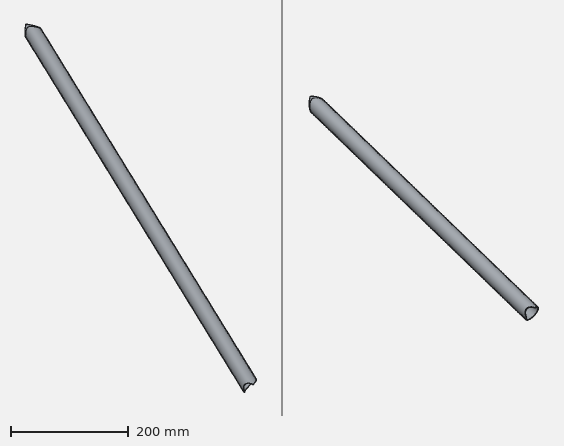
import cadquery as cq
import math

tube_diameter = 30.0
tube_radius = tube_diameter / 2
wall = 1.5
tip_length = 780.0
drop_angle = 13.0
yaw_angle = -1.7

start_roll = 31.0

end_roll = 137.0
saddle_radius = 11.0
trim_angle = 31.0
tip_angle = 45.0
tip_offset = tube_radius * math.cos(math.radians(tip_angle))
tip_half_gap = tube_radius * math.sin(math.radians(tip_angle))

cutter_length = 6 * tube_radius


def cross_cylinder(position, roll, radius):
    """Cylinder crossing the tube axis, which runs along local X."""
    roll_angle = math.radians(roll)
    axis = cq.Vector(0, math.cos(roll_angle), math.sin(roll_angle))
    start = cq.Vector(position, 0, 0) - axis * (cutter_length / 2)
    return cq.Workplane(cq.Solid.makeCylinder(radius, cutter_length, start, axis))


def slanted_trim():
    """Block removing the far end behind the line through the two tips."""
    block = cq.Workplane("XY").box(cutter_length, cutter_length, cutter_length)
    block = block.translate((cutter_length / 2, 0, 0))
    block = block.rotate((0, 0, 0), (0, 0, 1), -trim_angle)
    block = block.translate((tip_length, tip_offset, 0))
    return block.rotate((0, 0, 0), (1, 0, 0), end_roll)


tube = cq.Workplane("YZ").circle(tube_radius).circle(tube_radius - wall).extrude(tip_length + tube_radius)
tube = tube.cut(cross_cylinder(0, start_roll, tube_radius))
tube = tube.cut(slanted_trim())
saddle_position = tip_length + math.sqrt(saddle_radius**2 - tip_half_gap**2)
tube = tube.cut(cross_cylinder(saddle_position, end_roll, saddle_radius))

tube = tube.rotate((0, 0, 0), (0, 1, 0), drop_angle)
result = tube.rotate((0, 0, 0), (0, 0, 1), yaw_angle)